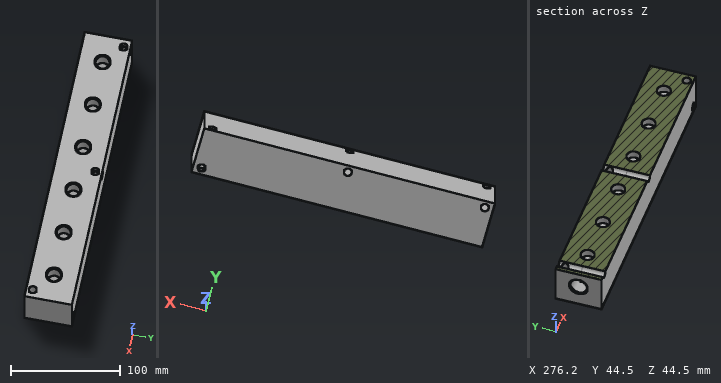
import cadquery as cq
import math

length = 276.2
side = 44.5

mount_diameter = 7.2
mount_end_inset = 8.0
mount_edge_inset = 6.4

countersink_angle = 90
pipe_taper = 1 / 16
top_port_count = 6
top_port_pitch = side
top_port_mouth = 14.6
top_port_bore = 12.7
top_port_depth = 13.8
top_port_point_angle = 124
end_port_mouth = 18.0
end_port_bore = 16.0
end_port_depth = 19.3
end_port_spike_angle = 60


def port_cutter(mouth, bore, depth, floor_angle, floor_direction):
    """Revolved port, opening at Z = 0 and sinking along -Z to a conical floor.

    The floor cone points down (floor_direction -1) or back up at the mouth (+1).
    """
    mouth_radius = mouth / 2
    bore_radius = bore / 2
    sink_depth = (mouth_radius - bore_radius) / math.tan(math.radians(countersink_angle / 2))
    floor_radius = bore_radius - (depth - sink_depth) * pipe_taper / 2
    floor_height = floor_radius / math.tan(math.radians(floor_angle / 2))
    return (
        cq.Workplane("XZ")
        .lineTo(mouth_radius, 0)
        .lineTo(bore_radius, -sink_depth)
        .lineTo(floor_radius, -depth)
        .lineTo(0, -depth + floor_direction * floor_height)
        .close()
        .revolve(360, (0, 0), (0, 1))
    )


block = cq.Workplane("XY").box(length, side, side)

mount_x = length / 2 - mount_end_inset
mount_offset = side / 2 - mount_edge_inset
mount_points = [(-mount_x, mount_offset), (0, mount_offset), (mount_x, -mount_offset)]
for plane in ("XY", "XZ"):
    mount_holes = (
        cq.Workplane(plane)
        .pushPoints(mount_points)
        .circle(mount_diameter / 2)
        .extrude(side, both=True)
    )
    block = block.cut(mount_holes)

top_port = port_cutter(top_port_mouth, top_port_bore, top_port_depth, top_port_point_angle, -1)
for index in range(top_port_count):
    port_x = (index - (top_port_count - 1) / 2) * top_port_pitch
    block = block.cut(top_port.translate((port_x, 0, side / 2)))

end_port = port_cutter(end_port_mouth, end_port_bore, end_port_depth, end_port_spike_angle, 1)
end_port = end_port.rotate((0, 0, 0), (0, 1, 0), -90)
block = block.cut(end_port.translate((-length / 2, 0, 0)))

result = block